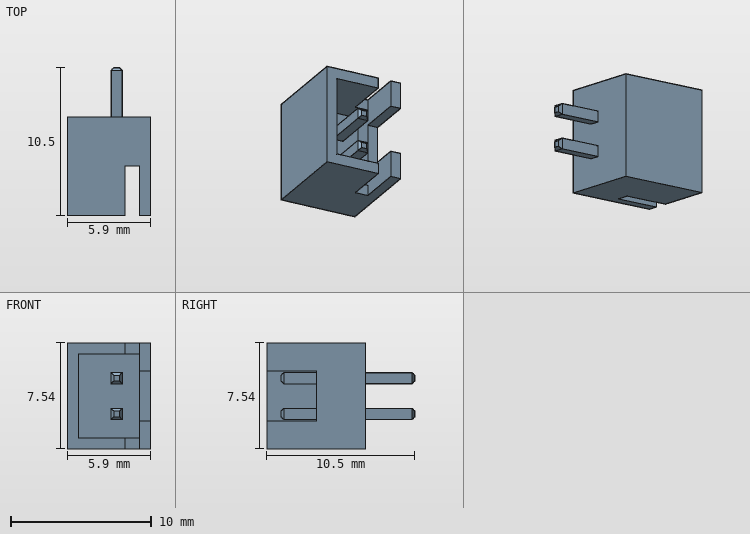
import cadquery as cq

width = 5.9
height = 7.54
total_length = 10.5
housing_length = 7.0
wall = 0.8
cavity_depth = 5.0

slot_width = 1.0
slot_depth = 3.51
window_height = 3.55
window_depth = 3.51

pin_size = 0.8
pin_pitch = 2.54
pin_x = 3.5
pin_recess = 1.0
tip_length = 0.2


def block(x_start, y_start, size_x, size_y, size_z):
    """Box placed by its low X and Y corner and centred on Z = 0."""
    return (
        cq.Workplane("XY")
        .box(size_x, size_y, size_z, centered=(False, False, True))
        .translate((x_start, y_start, 0))
    )


def make_housing():
    cavity = block(wall, 0, width - 2 * wall, cavity_depth, height - 2 * wall)
    side_slots = block(width - wall - slot_width, 0, slot_width, slot_depth, height)
    window = block(width - wall, 0, wall, window_depth, window_height)
    housing = block(0, 0, width, housing_length, height)
    return housing.cut(cavity).cut(side_slots).cut(window)


def make_pin(z):
    pin_length = total_length - pin_recess
    pin = block(pin_x - pin_size / 2, pin_recess, pin_size, pin_length, pin_size)
    return pin.faces("<Y or >Y").chamfer(tip_length).translate((0, 0, z))


result = make_housing()
for pin_z in (-pin_pitch / 2, pin_pitch / 2):
    result = result.union(make_pin(pin_z))